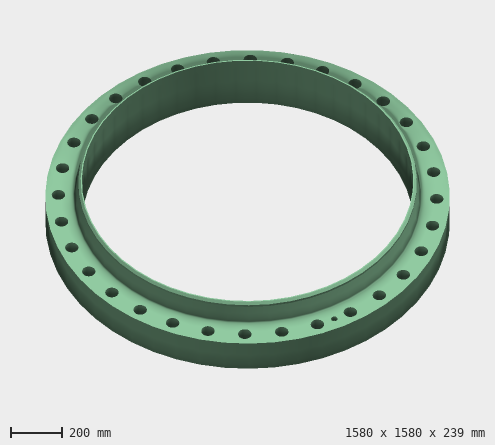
import cadquery as cq
import math

total_height = 239.0
raised_face_height = 5.0
flange_thickness = 142.0
root_fillet = 6.0
bevel_height = 10.0
straight_height = 10.0

flange_diameter = 1580.0
raised_face_diameter = 1410.0
hub_base_diameter = 1355.0
neck_diameter = 1323.0
neck_rim_diameter = 1304.0
bore_diameter = 1295.0

bolt_count = 32
bolt_circle_diameter = 1478.0
bolt_hole_diameter = 52.0

port_diameters = (25.0, 16.0, 6.0)
port_step_depth = 24.0

flange_top = raised_face_height + flange_thickness
straight_top = total_height - bevel_height
taper_top = straight_top - straight_height


def radial_profile():
    """Half section of the weld-neck flange, in the XZ plane."""
    bore_radius = bore_diameter / 2
    flange_radius = flange_diameter / 2
    raised_face_radius = raised_face_diameter / 2
    hub_base_radius = hub_base_diameter / 2
    neck_radius = neck_diameter / 2
    return (
        cq.Workplane("XZ")
        .moveTo(bore_radius, 0)
        .lineTo(raised_face_radius, 0)
        .lineTo(raised_face_radius, raised_face_height)
        .lineTo(flange_radius, raised_face_height)
        .lineTo(flange_radius, flange_top)
        .lineTo(hub_base_radius, flange_top)
        .lineTo(neck_radius, taper_top)
        .lineTo(neck_radius, straight_top)
        .lineTo(neck_rim_diameter / 2, total_height)
        .lineTo(bore_radius, total_height)
        .close()
    )


def weld_neck_body():
    """Revolved flange with a fillet where the tapered hub meets the flange."""
    body = radial_profile().revolve(360, (0, 0, 0), (0, 1, 0))
    hub_base_radius = hub_base_diameter / 2
    root_edge = body.edges("%CIRCLE").filter(
        lambda edge: math.isclose(edge.radius(), hub_base_radius)
    )
    return root_edge.fillet(root_fillet)


def bolt_holes():
    """Cylinders through the flange on the bolt circle."""
    return (
        cq.Workplane("XY")
        .polarArray(bolt_circle_diameter / 2, 0, 360, bolt_count)
        .circle(bolt_hole_diameter / 2)
        .extrude(flange_top)
    )


def stepped_port():
    """Blind port cut down from the flange top, narrowing at each step."""
    port_angle = 180 / bolt_count
    port_radius = bolt_circle_diameter / 2
    port_x = port_radius * math.cos(math.radians(port_angle))
    port_y = port_radius * math.sin(math.radians(port_angle))
    port = cq.Workplane("XY")
    for step, diameter in enumerate(port_diameters, start=1):
        depth = step * port_step_depth
        bore = cq.Workplane("XY", origin=(port_x, port_y, flange_top)).circle(diameter / 2).extrude(-depth)
        port = port.union(bore)
    return port


result = weld_neck_body().cut(bolt_holes()).cut(stepped_port())